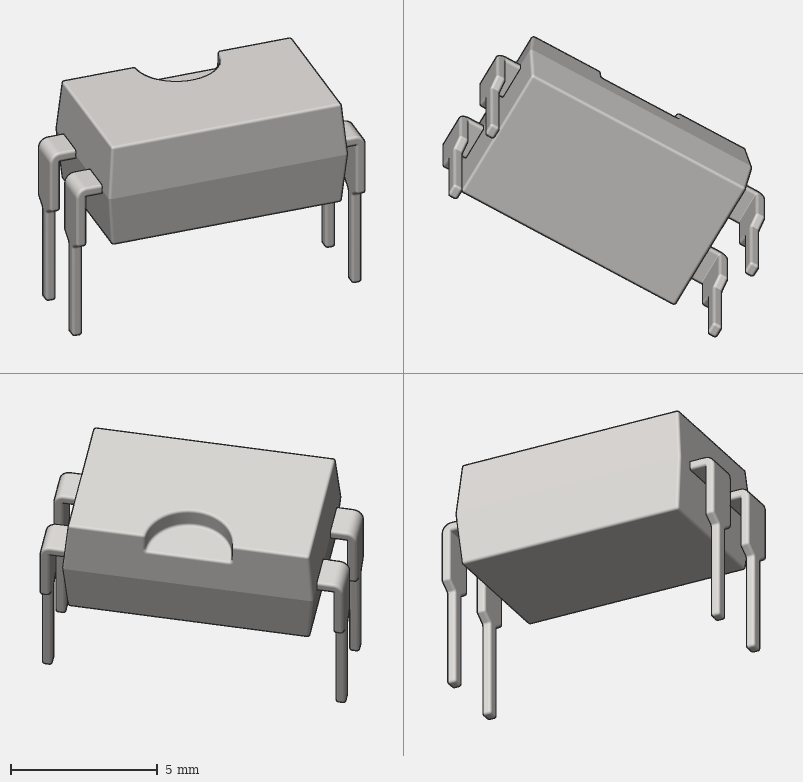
import cadquery as cq
import math

OVERALL_LENGTH = 10.51
EDGE_RADIUS = 0.1

HOUSING_WIDTH = 5.23
HOUSING_LENGTH = 8.69
HOUSING_HALF_HEIGHT = 1.92
DRAFT_ANGLE = 5.0

NOTCH_RADIUS = 1.49
NOTCH_DEPTH = 0.69

PIN_PITCH = 2.54
PIN_THICKNESS = 0.35
PIN_BEND_INNER_RADIUS = 0.02
PIN_BLADE_WIDTH = 1.27
PIN_TIP_WIDTH = 0.46
PIN_BOTTOM = -5.82
PIN_SHOULDER_TOP = -2.05
PIN_SHOULDER_BOTTOM = -2.32
PIN_OVERLAP = 0.32

draft_inset = HOUSING_HALF_HEIGHT * math.tan(math.radians(DRAFT_ANGLE))


def make_drafted_half():
    """Upper half of the housing, sharp-edged, narrowing away from the parting plane."""
    return (
        cq.Workplane("XY")
        .rect(HOUSING_WIDTH, HOUSING_LENGTH)
        .extrude(HOUSING_HALF_HEIGHT, taper=DRAFT_ANGLE)
    )


def make_notch_cutter():
    """Cylinder with a rounded lower rim, centered on the -X edge of the top face."""
    return (
        cq.Workplane("XY")
        .workplane(offset=HOUSING_HALF_HEIGHT - NOTCH_DEPTH)
        .center(draft_inset - HOUSING_WIDTH / 2, 0)
        .circle(NOTCH_RADIUS)
        .extrude(2 * NOTCH_DEPTH)
        .faces("<Z")
        .edges()
        .fillet(EDGE_RADIUS)
    )


def round_housing_half(half):
    """Round all sharp edges except those on the parting plane."""
    drafted_walls_and_top = half.faces(">Z or <X or >X or <Y or >Y")
    return drafted_walls_and_top.edges("not <Z").fillet(EDGE_RADIUS)


def make_housing():
    upper_half = round_housing_half(make_drafted_half().cut(make_notch_cutter()))
    lower_half = round_housing_half(make_drafted_half()).mirror("XY")
    return upper_half.union(lower_half)


def make_pin_side_profile():
    """Bent strip in the YZ plane, on the +Y side, extruded to the blade width."""
    top = PIN_THICKNESS / 2
    outer_y = OVERALL_LENGTH / 2
    inner_y = outer_y - PIN_THICKNESS
    root_y = HOUSING_LENGTH / 2 - PIN_OVERLAP
    outer_radius = PIN_BEND_INNER_RADIUS + PIN_THICKNESS
    bend_y = outer_y - outer_radius
    bend_z = top - outer_radius
    diagonal = math.sqrt(0.5)
    return (
        cq.Workplane("YZ")
        .moveTo(root_y, top)
        .lineTo(bend_y, top)
        .threePointArc(
            (bend_y + outer_radius * diagonal, bend_z + outer_radius * diagonal),
            (outer_y, bend_z),
        )
        .lineTo(outer_y, PIN_BOTTOM)
        .lineTo(inner_y, PIN_BOTTOM)
        .lineTo(inner_y, bend_z)
        .threePointArc(
            (bend_y + PIN_BEND_INNER_RADIUS * diagonal, bend_z + PIN_BEND_INNER_RADIUS * diagonal),
            (bend_y, -top),
        )
        .lineTo(root_y, -top)
        .close()
        .extrude(PIN_BLADE_WIDTH / 2, both=True)
    )


def make_pin_front_profile():
    """Wide blade tapering to a narrow tip, with rounded shoulders, extruded along Y."""
    blade = PIN_BLADE_WIDTH / 2
    tip = PIN_TIP_WIDTH / 2
    top = PIN_THICKNESS / 2
    outline = [
        (-blade, top),
        (blade, top),
        (blade, PIN_SHOULDER_TOP),
        (tip, PIN_SHOULDER_BOTTOM),
        (tip, PIN_BOTTOM),
        (-tip, PIN_BOTTOM),
        (-tip, PIN_SHOULDER_BOTTOM),
        (-blade, PIN_SHOULDER_TOP),
    ]
    shoulders = cq.selectors.BoxSelector(
        (-PIN_BLADE_WIDTH, 0, PIN_SHOULDER_BOTTOM - EDGE_RADIUS),
        (PIN_BLADE_WIDTH, OVERALL_LENGTH, PIN_SHOULDER_TOP + EDGE_RADIUS),
    )
    return (
        cq.Workplane("XZ")
        .polyline(outline)
        .close()
        .extrude(-OVERALL_LENGTH)
        .edges("|Y")
        .edges(shoulders)
        .fillet(EDGE_RADIUS)
    )


def make_pin(housing):
    """One pin at x = 0 on the +Y side, ending flush against the housing wall."""
    blank = make_pin_side_profile().intersect(make_pin_front_profile())
    upright_edges = blank.edges("|Z and (not <Y)")
    tip_end_edges = blank.faces("<Z").edges()
    return upright_edges.add(tip_end_edges).fillet(EDGE_RADIUS).cut(housing)


def make_pins(housing):
    """Two pins on each long end of the housing, the -Y row turned half a turn about Z."""
    pin = make_pin(housing)
    pins = []
    for row_angle in (0, 180):
        for side in (-1, 1):
            spaced_pin = pin.translate((side * PIN_PITCH / 2, 0, 0))
            pins.append(spaced_pin.rotate((0, 0, 0), (0, 0, 1), row_angle))
    return pins


housing = make_housing()
pins = make_pins(housing)

result = cq.Compound.makeCompound([housing.solids().val(), *[pin.solids().val() for pin in pins]])